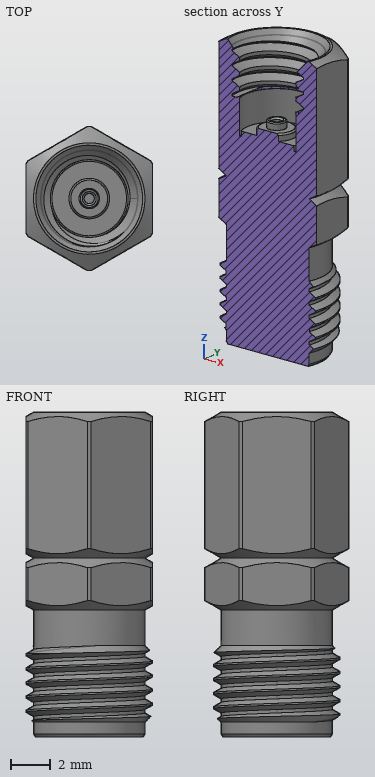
import cadquery as cq
import math


TOTAL_LENGTH = 16.26
WRENCH_HEX_BOTTOM = 6.35
NUT_BOTTOM = 8.95

ACROSS_FLATS = 6.35
CORNER_DIAMETER = 7.22
HEX_CHAMFER_ANGLE = 30.0

BODY_DIAMETER = 5.58
END_CHAMFER_RADIAL = 0.10
END_CHAMFER_AXIAL = 0.15
MALE_MAJOR_DIAMETER = 6.35
MALE_PITCH = 25.4 / 36
MALE_CREST_FLAT = MALE_PITCH / 8
MALE_BOTTOM = 0.74
MALE_TOP = 4.57
MALE_START_Z = 0.232

MOUTH_DIAMETER = 5.34
FEMALE_MAJOR_DIAMETER = 4.83
FEMALE_MINOR_DIAMETER = 3.89
MOUTH_CONE_DEPTH = 0.29
FEMALE_PITCH = 25.4 / 32
FEMALE_RIDGE_FLAT = FEMALE_PITCH / 4
FEMALE_BOTTOM = TOTAL_LENGTH - 2.97
FEMALE_START_Z = TOTAL_LENGTH - 3.275
FEMALE_START_ANGLE = -150.0
BORE_FLOOR = TOTAL_LENGTH - 5.0

PLUG_DIAMETER = 3.73
PLUG_HEIGHT = 0.3
COLLAR_DIAMETER = 2.03
COLLAR_HEIGHT = 0.4
COLLAR_CHAMFER = 0.09
PIN_DIAMETER = 1.02
PIN_HEIGHT = 0.4
PIN_CHAMFER = 0.06
SOCKET_MOUTH_DIAMETER = 0.70
SOCKET_DIAMETER = 0.51
SOCKET_DEPTH = 0.6

FLANK_SLOPE = math.tan(math.radians(30))
OVERLAP = 0.02


def cylinder(diameter, bottom, top):
    return cq.Workplane("XY").workplane(offset=bottom).circle(diameter / 2).extrude(top - bottom)


def turned(outline):
    """Solid of revolution about Z from (radius, z) points."""
    return cq.Workplane("XZ").polyline(outline).close().revolve(360, (0, 0), (0, 1))


def hexagon(bottom, top):
    """Hexagonal section, flats towards +X and -X, with both ends turned to a cone."""
    height = top - bottom
    prism = (
        cq.Workplane("XY")
        .workplane(offset=bottom)
        .polygon(6, ACROSS_FLATS / math.cos(math.pi / 6))
        .extrude(height)
        .rotate((0, 0, 0), (0, 0, 1), 30)
    )
    face_radius = BODY_DIAMETER / 2
    corner_radius = CORNER_DIAMETER / 2
    drop = (corner_radius - face_radius) * math.tan(math.radians(HEX_CHAMFER_ANGLE))
    envelope = turned(
        [
            (0, bottom),
            (face_radius, bottom),
            (corner_radius, bottom + drop),
            (corner_radius, top - drop),
            (face_radius, top),
            (0, top),
        ]
    )
    return prism.intersect(envelope)


def helical_ridge(root_radius, crest_radius, crest_flat, pitch, turns):
    """Right-handed V ridge, outward or inward from its root, centred on Z = 0 at the +X side."""
    inward = crest_radius < root_radius
    buried_radius = root_radius + OVERLAP if inward else root_radius - OVERLAP
    half_crest = crest_flat / 2
    half_base = half_crest + abs(crest_radius - buried_radius) * FLANK_SLOPE
    profile = [
        (buried_radius, -half_base),
        (crest_radius, -half_crest),
        (crest_radius, half_crest),
        (buried_radius, half_base),
    ]
    helix = cq.Wire.makeHelix(pitch, pitch * turns, root_radius)
    return cq.Workplane("XZ").polyline(profile).close().sweep(cq.Workplane(helix), isFrenet=True)


def male_thread():
    """Ridge trimmed to the thread length, with 45 degree chamfers at both ends."""
    root_radius = BODY_DIAMETER / 2
    crest_radius = MALE_MAJOR_DIAMETER / 2
    depth = crest_radius - root_radius
    turns = math.ceil((MALE_TOP - MALE_START_Z) / MALE_PITCH)
    ridge = helical_ridge(root_radius, crest_radius, MALE_CREST_FLAT, MALE_PITCH, turns)
    ridge = ridge.translate((0, 0, MALE_START_Z))
    buried_radius = root_radius - 2 * OVERLAP
    envelope = turned(
        [
            (0, MALE_BOTTOM - 2 * OVERLAP),
            (buried_radius, MALE_BOTTOM - 2 * OVERLAP),
            (crest_radius + OVERLAP, MALE_BOTTOM + depth + OVERLAP),
            (crest_radius + OVERLAP, MALE_TOP - depth - OVERLAP),
            (buried_radius, MALE_TOP + 2 * OVERLAP),
            (0, MALE_TOP + 2 * OVERLAP),
        ]
    )
    return ridge.intersect(envelope)


def body():
    radius = BODY_DIAMETER / 2
    shank = turned(
        [
            (0, 0),
            (radius - END_CHAMFER_RADIAL, 0),
            (radius, END_CHAMFER_AXIAL),
            (radius, WRENCH_HEX_BOTTOM),
            (0, WRENCH_HEX_BOTTOM),
        ]
    )
    wrench_hex = hexagon(WRENCH_HEX_BOTTOM, NUT_BOTTOM)
    nut = hexagon(NUT_BOTTOM, TOTAL_LENGTH)
    return shank.union(male_thread()).union(wrench_hex).union(nut)


def mouth_cone_z(radius):
    """Height of the mouth cone surface at a given radius."""
    mouth_radius = MOUTH_DIAMETER / 2
    cone_slope = MOUTH_CONE_DEPTH / (mouth_radius - FEMALE_MAJOR_DIAMETER / 2)
    return TOTAL_LENGTH - (mouth_radius - radius) * cone_slope


def bore():
    """Conical mouth, bore at the thread major diameter, then a narrower plain bore."""
    mouth_radius = MOUTH_DIAMETER / 2
    major_radius = FEMALE_MAJOR_DIAMETER / 2
    minor_radius = FEMALE_MINOR_DIAMETER / 2
    return turned(
        [
            (0, BORE_FLOOR),
            (minor_radius, BORE_FLOOR),
            (minor_radius, FEMALE_BOTTOM),
            (major_radius, FEMALE_BOTTOM),
            (major_radius, mouth_cone_z(major_radius)),
            (mouth_radius, TOTAL_LENGTH),
            (0, TOTAL_LENGTH),
        ]
    )


def female_thread():
    """Inward ridge on the major diameter, cut back at its top by the mouth cone."""
    major_radius = FEMALE_MAJOR_DIAMETER / 2
    minor_radius = FEMALE_MINOR_DIAMETER / 2
    turns = math.ceil((TOTAL_LENGTH - FEMALE_START_Z) / FEMALE_PITCH)
    ridge = helical_ridge(major_radius, minor_radius, FEMALE_RIDGE_FLAT, FEMALE_PITCH, turns)
    ridge = ridge.rotate((0, 0, 0), (0, 0, 1), FEMALE_START_ANGLE).translate((0, 0, FEMALE_START_Z))
    outer_radius = major_radius + 2 * OVERLAP
    inner_radius = minor_radius - 2 * OVERLAP
    envelope = turned(
        [
            (0, BORE_FLOOR),
            (outer_radius, BORE_FLOOR),
            (outer_radius, mouth_cone_z(outer_radius)),
            (inner_radius, mouth_cone_z(inner_radius)),
            (0, mouth_cone_z(inner_radius)),
        ]
    )
    return ridge.intersect(envelope)


def contact():
    """Stepped plug on the bore floor with a socket in its centre pin."""
    plug_top = BORE_FLOOR + PLUG_HEIGHT
    collar_top = plug_top + COLLAR_HEIGHT
    pin_top = collar_top + PIN_HEIGHT
    plug = cylinder(PLUG_DIAMETER, BORE_FLOOR - OVERLAP, plug_top)
    collar = cylinder(COLLAR_DIAMETER, BORE_FLOOR, collar_top).faces(">Z").chamfer(COLLAR_CHAMFER)
    pin = cylinder(PIN_DIAMETER, BORE_FLOOR, pin_top).faces(">Z").chamfer(PIN_CHAMFER)
    mouth_radius = SOCKET_MOUTH_DIAMETER / 2
    socket_radius = SOCKET_DIAMETER / 2
    socket = turned(
        [
            (0, pin_top - SOCKET_DEPTH),
            (socket_radius, pin_top - SOCKET_DEPTH),
            (socket_radius, pin_top - (mouth_radius - socket_radius)),
            (mouth_radius, pin_top),
            (0, pin_top),
        ]
    )
    return plug.union(collar).union(pin).cut(socket)


result = body().cut(bore()).union(female_thread()).union(contact())